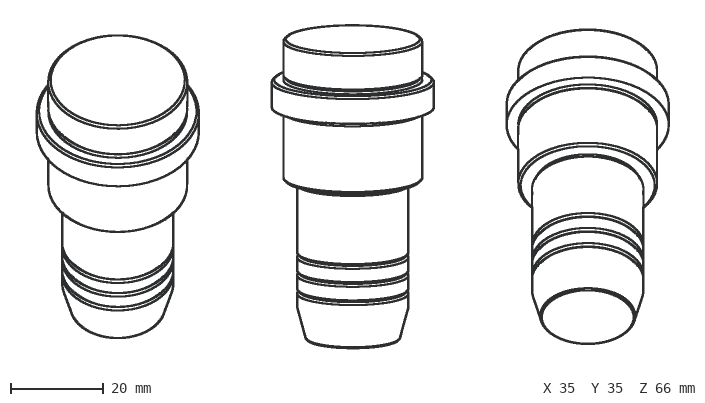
import cadquery as cq

total_height = 66.0
flange_top = 57.0
flange_bottom = 51.0
body_bottom = 35.0
stem_top = 34.0
stem_groove_centers = (18.5, 14.5, 10.5)
taper_top = 7.0

flange_radius = 17.5
body_radius = 15.0
stem_radius = 12.0
tip_radius = 10.2

edge_chamfer = 0.5
groove_depth = 0.5
neck_depth = 0.5
tip_chamfer = 0.3


def cylinder(radius, bottom, top):
    return cq.Workplane("XY").workplane(offset=bottom).circle(radius).extrude(top - bottom)


def v_groove(radius, center):
    """Triangular ring that cuts a 45 degree groove into a cylinder of the given radius."""
    return (
        cq.Workplane("XZ")
        .moveTo(radius, center - groove_depth)
        .lineTo(radius - groove_depth, center)
        .lineTo(radius, center + groove_depth)
        .close()
        .revolve(360, (0, 0, 0), (0, 1, 0))
    )


body = cylinder(body_radius, body_bottom, total_height).edges().chamfer(edge_chamfer)
flange = cylinder(flange_radius, flange_bottom, flange_top).edges(">Z").chamfer(edge_chamfer)

neck = cylinder(stem_radius - neck_depth, stem_top, body_bottom)
stem = cylinder(stem_radius, taper_top, stem_top)
tip = (
    cq.Workplane("XZ")
    .lineTo(tip_radius - tip_chamfer, 0)
    .lineTo(tip_radius, tip_chamfer)
    .lineTo(stem_radius, taper_top)
    .lineTo(0, taper_top)
    .close()
    .revolve(360, (0, 0, 0), (0, 1, 0))
)

result = body.union(flange).union(neck).union(stem).union(tip)

for groove_center in (flange_top + groove_depth, flange_bottom - groove_depth):
    result = result.cut(v_groove(body_radius, groove_center))

for groove_center in stem_groove_centers:
    result = result.cut(v_groove(stem_radius, groove_center))